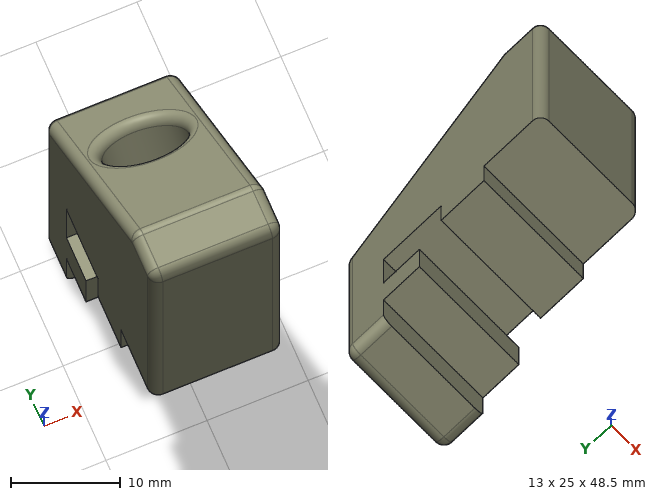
import cadquery as cq
import math

width = 13.0
depth = 25.0
height = 48.5
edge_radius = 1.05

top_land = 5.0
leg_thickness = 5.0
leg_length = 18.5
slope_end_z = height - (depth - top_land)

tooth_gap = 7.3
tooth_width = 5.45
tooth_height = 4.55

hole_diameter = 8.35
hole_center_y = 17.5
hole_depth = 12.12


def make_body():
    """Extrude the sloped outline with its leg and round its outer edges."""
    leg_front_y = depth - leg_thickness
    body = (
        cq.Workplane("YZ")
        .polyline([
            (0, leg_length),
            (0, height),
            (top_land, height),
            (depth, slope_end_z),
            (depth, 0),
            (leg_front_y, 0),
            (leg_front_y, leg_length),
        ])
        .close()
        .extrude(width / 2, both=True)
    )
    inner_edges = cq.selectors.BoxSelector(
        (-width, -depth / 2, -height),
        (width, leg_front_y + leg_thickness / 4, leg_length + edge_radius),
    )
    all_edges = cq.selectors.BoxSelector(
        (-width, -depth, -height),
        (width, 2 * depth, 2 * height),
    )
    return body.edges(all_edges - inner_edges).fillet(edge_radius)


def make_tooth(min_y, min_z, size_y, size_z):
    """Make a full-width rectangular tooth from its lower front corner."""
    return (
        cq.Workplane("XY")
        .box(width, size_y, size_z, centered=(True, False, False))
        .translate((0, min_y, min_z))
    )


def make_hole():
    """Revolve the hole with its flared mouth about the normal of the slope."""
    hole_radius = hole_diameter / 2
    mouth_radius = hole_radius + edge_radius
    arc_offset = edge_radius * (1 - math.sqrt(0.5))
    mouth_z = height - (hole_center_y - top_land)
    slope_plane = cq.Plane(
        origin=(0, hole_center_y, mouth_z),
        xDir=(1, 0, 0),
        normal=(0, -1, 1),
    )
    return (
        cq.Workplane(slope_plane)
        .lineTo(mouth_radius, 0)
        .threePointArc(
            (hole_radius + arc_offset, -arc_offset),
            (hole_radius, -edge_radius),
        )
        .lineTo(hole_radius, -hole_depth)
        .lineTo(0, -hole_depth)
        .close()
        .revolve(360, (0, 0), (0, 1))
    )


body_tooth = make_tooth(
    depth - leg_thickness - tooth_gap - tooth_width,
    leg_length - tooth_height,
    tooth_width,
    tooth_height,
)
leg_tooth = make_tooth(
    depth - leg_thickness - tooth_height,
    leg_length - tooth_gap - tooth_width,
    tooth_height,
    tooth_width,
)

result = make_body().union(body_tooth).union(leg_tooth).cut(make_hole())